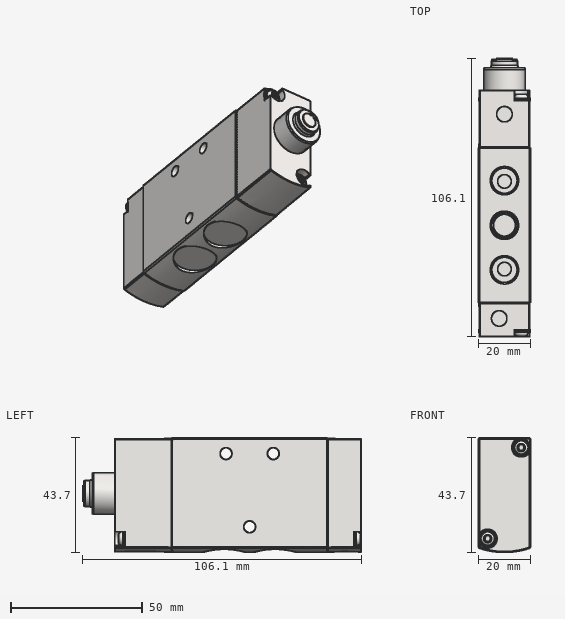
import cadquery as cq
import math

overall_length = 106.1

block_width = 20.0
block_length = 58.8
block_height = 43.72
block_chamfer = 0.6
arch_rise = 1.75
block_top = block_height / 2
block_bottom = -block_height / 2

port_pitch = 17.0
port_diameter = 9.6
port_mouth_diameter = 10.8
port_depth = 10.0
port_mouth_depth = 0.6
middle_port_floor_diameter = 8.3
middle_port_floor_taper = 0.7
passage_diameter = 5.2
passage_offset = 16.7
passage_depth = 18.0

spot_face_diameter = 16.5
spot_face_offset = 9.7
spot_face_depth = 1.4

mount_diameter = 4.4
mount_places = [(-9.0, 15.8), (9.0, 15.8), (0.0, -12.1)]

cap_inset = 0.3
cap_lift = 0.1
cap_width = block_width - 2 * cap_inset
cap_chamfer = 0.5
cap_face_chamfer = 0.2
cap_draft = 0.25
lip_length = 0.45
lip_inset = 0.5
front_cap_length = 12.65
rear_cap_length = 21.6
vent_diameter = 5.92
vent_depth = 8.0
front_vent_place = (-2.0, -35.5)
rear_vent_place = (0.0, 42.3)

upper_screw_place = (6.4, 18.1)
lower_screw_place = (-6.4, -16.6)
pocket_diameter = 7.2
notch_half_width = 2.6
front_pocket_depth = 2.75
rear_pocket_depth = 4.0
rim_diameter = 6.8
rim_height = 0.95
rim_teeth = 32
rim_tooth_width = 0.3
dome_diameter = 5.2
dome_top_diameter = 3.0
dome_height = 1.6
socket_core_diameter = 2.1
socket_diameter = 2.46
socket_lobes = 6
socket_lobe_diameter = 0.6
socket_depth = 1.2

collar_diameter = 15.9
collar_length = 8.6
collar_chamfer_length = 0.75
collar_chamfer_depth = 0.3
button_diameter = 10.0
button_length = 3.1
button_chamfer_length = 0.6
button_chamfer_depth = 0.3
button_flare_length = 0.9
button_flare_width = 0.35
nub_diameter = 5.92
cap_to_collar_length = front_cap_length + 2 * lip_length + block_length + rear_cap_length
nub_height = overall_length - cap_to_collar_length - collar_length - button_length
button_z = 0.6

block_end = block_length / 2
rear_face = block_end + lip_length + rear_cap_length


def arched_outline(width, top, bottom, chamfer):
    """Sketch, on an XZ workplane, of a rectangle with an arched bottom and chamfered corners."""
    half = width / 2
    arch_radius = (block_width**2 / 4 + arch_rise**2) / (2 * arch_rise)
    arch_edge = half - chamfer
    arch_end = bottom + arch_radius - math.sqrt(arch_radius**2 - arch_edge**2)
    return (
        cq.Sketch()
        .segment((-half, arch_end + chamfer), (-half, top - chamfer))
        .segment((-arch_edge, top))
        .segment((arch_edge, top))
        .segment((half, top - chamfer))
        .segment((half, arch_end + chamfer))
        .segment((arch_edge, arch_end))
        .arc((arch_edge, arch_end), (0, bottom), (-arch_edge, arch_end))
        .segment((-arch_edge, arch_end), (-half, arch_end + chamfer))
        .assemble()
    )


def end_plane(y, direction):
    """Plane at the given Y whose local y is Z; its normal points along direction (+1 or -1) in Y."""
    return cq.Workplane(cq.Plane(origin=(0, y, 0), xDir=(-direction, 0, 0), normal=(0, direction, 0)))


def vertical_hole(x, y, top, diameter, depth):
    return cq.Workplane("XY", origin=(x, y, top - depth)).circle(diameter / 2).extrude(depth)


def make_port(y):
    """Port bore with a conical mouth; the middle port, at y = 0, also has a tapered floor."""
    bore_radius = port_diameter / 2
    taper_start = middle_port_floor_taper - port_depth if y == 0 else -port_depth
    profile = [
        (0, 0),
        (port_mouth_diameter / 2, 0),
        (bore_radius, -port_mouth_depth),
        (bore_radius, taper_start),
    ]
    if y == 0:
        profile.append((middle_port_floor_diameter / 2, -port_depth))
    profile.append((0, -port_depth))
    port = cq.Workplane("XZ").polyline(profile).close().revolve(360, (0, 0), (0, 1))
    return port.translate((0, y, block_top))


def make_block():
    outline = arched_outline(block_width, block_top, block_bottom, block_chamfer)
    block = end_plane(-block_end, 1).placeSketch(outline).extrude(block_length)

    for y in (-port_pitch, 0, port_pitch):
        block = block.cut(make_port(y))
    for y in (-passage_offset, passage_offset):
        block = block.cut(vertical_hole(0, y, block_top, passage_diameter, passage_depth))

    for y in (-spot_face_offset, spot_face_offset):
        floor = block_bottom + spot_face_depth
        block = block.cut(vertical_hole(0, y, floor, spot_face_diameter, spot_face_depth))

    mounts = cq.Workplane("YZ").pushPoints(mount_places).circle(mount_diameter / 2)
    return block.cut(mounts.extrude(block_width / 2, both=True))


def knurled_rim():
    """Disc on the XY plane with straight teeth around its edge."""
    rim = cq.Workplane("XY").circle(dome_diameter / 2).extrude(rim_height)
    teeth = cq.Workplane("XY").polarArray(dome_diameter / 2, 0, 360, rim_teeth)
    teeth = teeth.rect(rim_diameter - dome_diameter, rim_tooth_width).extrude(rim_height)
    return rim.union(teeth)


def make_screw_head():
    """Screw head standing on the XY plane, its socket opening toward +Z."""
    head_height = rim_height + dome_height
    diagonal = math.sqrt(0.5)
    rise_radius = (dome_diameter - dome_top_diameter) / 2
    dome = (
        cq.Workplane("XZ")
        .lineTo(dome_diameter / 2, 0)
        .lineTo(dome_diameter / 2, rim_height)
        .threePointArc(
            (dome_top_diameter / 2 + diagonal * rise_radius, rim_height + diagonal * dome_height),
            (dome_top_diameter / 2, head_height),
        )
        .lineTo(0, head_height)
        .close()
        .revolve(360, (0, 0), (0, 1))
    )
    socket_floor = cq.Workplane("XY", origin=(0, 0, head_height - socket_depth))
    core = socket_floor.circle(socket_core_diameter / 2).extrude(socket_depth)
    lobe_circle = (socket_diameter - socket_lobe_diameter) / 2
    lobes = socket_floor.polarArray(lobe_circle, 0, 360, socket_lobes).circle(socket_lobe_diameter / 2)
    return knurled_rim().union(dome).cut(core).cut(lobes.extrude(socket_depth))


def make_notches(y, depth):
    """Cuts that open the upper screw pocket at the cap's corner and the lower one at its -X side."""
    reach = block_width / 2
    x, z = upper_screw_place
    corner = cq.Workplane("XY").box(reach, depth, reach, centered=False)
    corner = corner.translate((x - notch_half_width, y, z - notch_half_width))
    x, z = lower_screw_place
    slot = cq.Workplane("XY").box(reach, depth, 2 * notch_half_width, centered=False)
    return corner.union(slot.translate((x - reach, y, z - notch_half_width)))


def make_cap(direction, length, pocket_depth, vent_place):
    """Drafted cap on the block end facing direction, with its lip, vent hole and two screws."""
    seat = direction * block_end
    base = seat + direction * lip_length
    face = base + direction * length
    cap_top = block_top - cap_inset
    cap_bottom = block_bottom + cap_lift

    outline = arched_outline(cap_width, cap_top, cap_bottom, cap_chamfer)
    cap = end_plane(base, direction).placeSketch(outline).extrude(length, taper=cap_draft)
    cap = cap.faces(">Y" if direction > 0 else "<Y").chamfer(cap_face_chamfer)

    lip_outline = arched_outline(
        cap_width - 2 * lip_inset, cap_top - lip_inset, cap_bottom + lip_inset, cap_chamfer
    )
    cap = cap.union(end_plane(seat, direction).placeSketch(lip_outline).extrude(lip_length))

    cap = cap.cut(vertical_hole(*vent_place, cap_top, vent_diameter, vent_depth))

    floor = face - direction * pocket_depth
    cap = cap.cut(make_notches(min(floor, face), pocket_depth))
    head = make_screw_head().rotate((0, 0, 0), (1, 0, 0), -90 * direction)
    for x, z in (upper_screw_place, lower_screw_place):
        pocket = end_plane(floor, direction).center(-direction * x, z).circle(pocket_diameter / 2)
        cap = cap.cut(pocket.extrude(pocket_depth))
        cap = cap.union(head.translate((x, floor, z)))
    return cap


def make_actuator():
    """Collar with its push button, turned about an axis along Y."""
    collar_radius = collar_diameter / 2
    button_radius = button_diameter / 2
    button_end = collar_length + button_length
    profile = [
        (0, 0),
        (collar_radius, 0),
        (collar_radius, collar_length - collar_chamfer_length),
        (collar_radius - collar_chamfer_depth, collar_length),
        (button_radius + button_flare_width, collar_length),
        (button_radius, collar_length + button_flare_length),
        (button_radius, button_end - button_chamfer_length),
        (button_radius - button_chamfer_depth, button_end),
        (nub_diameter / 2, button_end),
        (nub_diameter / 2, button_end + nub_height),
        (0, button_end + nub_height),
    ]
    turned = cq.Workplane("XY").polyline(profile).close().revolve(360, (0, 0), (0, 1))
    return turned.translate((0, rear_face, button_z))


block = make_block()
front_cap = make_cap(-1, front_cap_length, front_pocket_depth, front_vent_place)
rear_cap = make_cap(1, rear_cap_length, rear_pocket_depth, rear_vent_place)
actuator = make_actuator()

result = cq.Compound.makeCompound([block.val(), front_cap.val(), rear_cap.val(), actuator.val()])